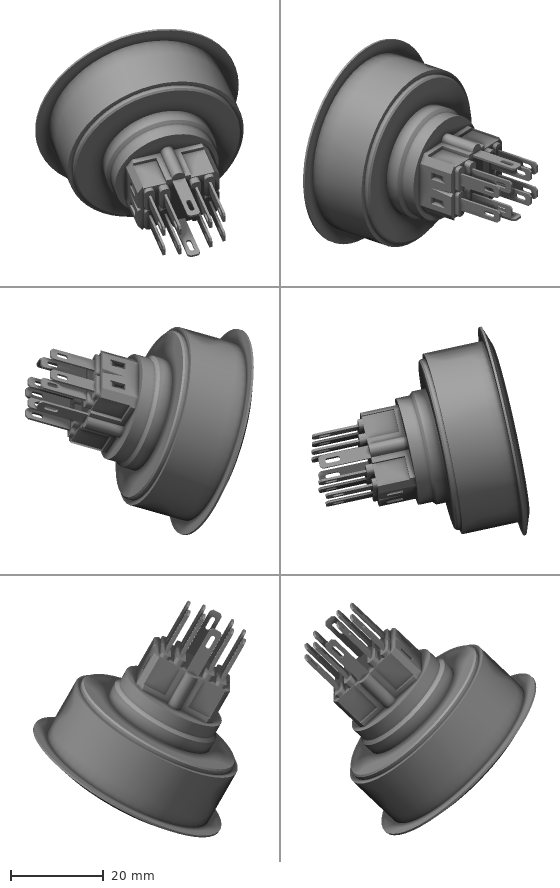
import cadquery as cq

FLANGE_D = 46
FACE_D = 37.7
BODY_D = 39.9
COLLAR_D = 37.7
NECK_D = 25.0
REAR_D = 23.5
RIM_START_X = 1.5
FLANGE_END_X = 2.0
BODY_END_X = 14.95
COLLAR_END_X = 16.2
NECK_END_X = 19.8
REAR_END_X = 22.8
COLLAR_CHAMFER = 0.35
NECK_CHAMFER = (NECK_D - REAR_D) / 2

BLOCK_END_X = 31.1
BLOCK_HALF_Y = 9.3
BLOCK_HALF_Z = 7.0
BLOCK_FLAT_Y = 7.9
BLOCK_FLAT_Z = 5.05

RIB_R = 1.5
RIB_CENTER_Z = 6.9

RECESS_START_X = 23.95
RECESS_INNER_Y = 2.8
RECESS_OUTER_Y = 8.1
RECESS_DEPTH = 0.85

WINDOW_START_X = 25.75
RAMP_START_X = 27.3
RAMP_END_X = 28.8
WINDOW_END_X = 29.3
WINDOW_HEIGHT = 1.65
WINDOW_DEPTH = 1.4
WINDOW_STEP_DEPTH = 0.35

SPLIT_START_X = WINDOW_START_X
SPLIT_HALF_WIDTH = 0.55
SPLIT_DEPTH = 0.8

TERMINAL_WIDTH = 2.85
TERMINAL_THICKNESS = 0.5
TIP_CHAMFER = 0.55
HOLE_WIDTH = 1.1
HOLE_TO_TIP = 1.4
SIDE_HOLE_LENGTH = 2.6
CENTER_HOLE_LENGTH = 3.25
SHORT_TIP_X = 42.27
LONG_TIP_X = 43.1
CENTER_TERMINAL_Z = 6.15
SIDE_TERMINAL_Z = 3.0
OUTER_TERMINAL_Y = 6.8
INNER_TERMINAL_Y = 3.5

BOSS_CORNER_R = 1.75 / 2
BOSS_WIDTH = TERMINAL_THICKNESS + 2 * BOSS_CORNER_R
BOSS_HEIGHT = 5.9
OUTER_BOSS_END_X = 32.0
INNER_BOSS_END_X = 32.6

SIDES = (1, -1)


def make_housing():
    profile = [
        (0, 0),
        (0, FACE_D / 2),
        (RIM_START_X, FLANGE_D / 2),
        (FLANGE_END_X, FLANGE_D / 2),
        (FLANGE_END_X, BODY_D / 2),
        (BODY_END_X, BODY_D / 2),
        (BODY_END_X, COLLAR_D / 2),
        (COLLAR_END_X - COLLAR_CHAMFER, COLLAR_D / 2),
        (COLLAR_END_X, COLLAR_D / 2 - COLLAR_CHAMFER),
        (COLLAR_END_X, NECK_D / 2),
        (NECK_END_X - NECK_CHAMFER, NECK_D / 2),
        (NECK_END_X, REAR_D / 2),
        (REAR_END_X, REAR_D / 2),
        (REAR_END_X, 0),
    ]
    return cq.Workplane("XY").polyline(profile).close().revolve(360, (0, 0, 0), (1, 0, 0))


def section_at(x):
    """YZ workplane whose normal points along +X."""
    return cq.Workplane("YZ", origin=(x, 0, 0))


def make_block_body():
    length = BLOCK_END_X - REAR_END_X
    outline = []
    for side_y, side_z in ((1, 1), (-1, 1), (-1, -1), (1, -1)):
        wall_corner = (side_y * BLOCK_HALF_Y, side_z * BLOCK_FLAT_Z)
        flat_corner = (side_y * BLOCK_FLAT_Y, side_z * BLOCK_HALF_Z)
        outline += [wall_corner, flat_corner] if side_y == side_z else [flat_corner, wall_corner]
    body = section_at(REAR_END_X).polyline(outline).close().extrude(length)
    rib_centers = [(0, side * RIB_CENTER_Z) for side in SIDES]
    return body.union(section_at(REAR_END_X).pushPoints(rib_centers).circle(RIB_R).extrude(length))


def make_recesses():
    centers = [
        (side_y * (RECESS_INNER_Y + RECESS_OUTER_Y) / 2, side_z * (BLOCK_HALF_Z - RECESS_DEPTH / 2))
        for side_y in SIDES
        for side_z in SIDES
    ]
    return (
        section_at(RECESS_START_X)
        .pushPoints(centers)
        .rect(RECESS_OUTER_Y - RECESS_INNER_Y, RECESS_DEPTH)
        .extrude(BLOCK_END_X - RECESS_START_X)
    )


def make_window():
    """Latch window cutter on the -Y side, centred on Z = 0."""
    floor_y = WINDOW_DEPTH - BLOCK_HALF_Y
    step_y = WINDOW_STEP_DEPTH - BLOCK_HALF_Y
    profile = [
        (WINDOW_START_X, -BLOCK_HALF_Y),
        (WINDOW_START_X, floor_y),
        (RAMP_START_X, floor_y),
        (RAMP_END_X, step_y),
        (WINDOW_END_X, step_y),
        (WINDOW_END_X, -BLOCK_HALF_Y),
    ]
    return cq.Workplane("XY").polyline(profile).close().extrude(WINDOW_HEIGHT / 2, both=True)


def make_split():
    """Pyramid-shaped cutter on the -Y side that widens and deepens towards the rear."""
    start = cq.Vector(SPLIT_START_X, -BLOCK_HALF_Y, 0)
    upper = cq.Vector(BLOCK_END_X, -BLOCK_HALF_Y, SPLIT_HALF_WIDTH)
    lower = cq.Vector(BLOCK_END_X, -BLOCK_HALF_Y, -SPLIT_HALF_WIDTH)
    bottom = cq.Vector(BLOCK_END_X, SPLIT_DEPTH - BLOCK_HALF_Y, 0)
    triangles = [
        (start, upper, lower),
        (start, bottom, upper),
        (start, lower, bottom),
        (upper, bottom, lower),
    ]
    faces = [cq.Face.makeFromWires(cq.Wire.makePolygon(corners, close=True)) for corners in triangles]
    return cq.Workplane("XY").add(cq.Solid.makeSolid(cq.Shell.makeShell(faces)))


def make_block():
    block = make_block_body().cut(make_recesses())
    side_cuts = [make_split()]
    for side in SIDES:
        side_cuts.append(make_window().translate((0, 0, side * SIDE_TERMINAL_Z)))
    for cutter in side_cuts:
        block = block.cut(cutter).cut(cutter.mirror("XZ"))
    return block


def make_terminal(tip_x, hole_length):
    """Terminal lying flat in the XY plane, starting at the rear of the block."""
    length = tip_x - BLOCK_END_X
    plate = (
        cq.Workplane("XY")
        .box(length, TERMINAL_WIDTH, TERMINAL_THICKNESS)
        .edges("|Z and >X")
        .chamfer(TIP_CHAMFER)
        .translate((BLOCK_END_X + length / 2, 0, 0))
    )
    hole = (
        cq.Workplane("XY")
        .center(tip_x - HOLE_TO_TIP - hole_length / 2, 0)
        .slot2D(hole_length, HOLE_WIDTH)
        .extrude(TERMINAL_THICKNESS, both=True)
    )
    return plate.cut(hole)


def make_side_terminal(tip_x, boss_end_x):
    """Upright terminal with its root boss."""
    boss = (
        section_at(BLOCK_END_X)
        .rect(BOSS_WIDTH, BOSS_HEIGHT)
        .extrude(boss_end_x - BLOCK_END_X)
        .edges("|X")
        .fillet(BOSS_CORNER_R)
    )
    upright = make_terminal(tip_x, SIDE_HOLE_LENGTH).rotate((0, 0, 0), (1, 0, 0), 90)
    return upright.union(boss)


result = make_housing().union(make_block())
outer_terminal = make_side_terminal(SHORT_TIP_X, OUTER_BOSS_END_X)
inner_terminal = make_side_terminal(LONG_TIP_X, INNER_BOSS_END_X)
center_terminal = make_terminal(SHORT_TIP_X, CENTER_HOLE_LENGTH)
for side_z in SIDES:
    result = result.union(center_terminal.translate((0, 0, side_z * CENTER_TERMINAL_Z)))
    for side_y in SIDES:
        z = side_z * SIDE_TERMINAL_Z
        result = result.union(outer_terminal.translate((0, side_y * OUTER_TERMINAL_Y, z)))
        result = result.union(inner_terminal.translate((0, side_y * INNER_TERMINAL_Y, z)))